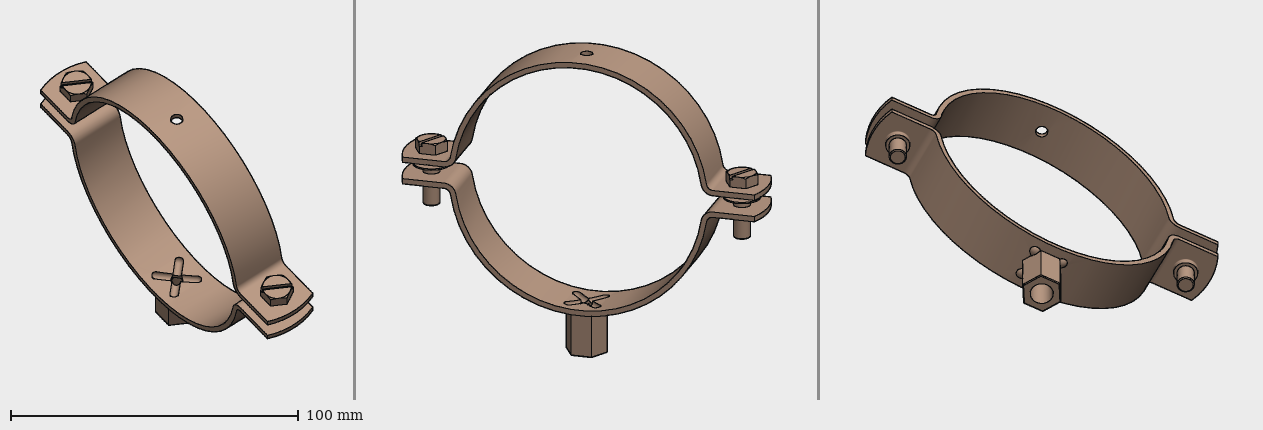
import cadquery as cq
import math

strip_width = 20.0
strip_thickness = 2.0
pipe_radius = 45.0
band_radius = pipe_radius + strip_thickness
overall_length = 131.72
overall_height = 110.59
ear_gap = 6.0
ear_inner_z = ear_gap / 2
ear_outer_z = ear_inner_z + strip_thickness
ear_tip_radius = 26.0
bend_inner_radius = 2.4
bend_outer_radius = bend_inner_radius + strip_thickness
centre_hole_diameter = 4.2

screw_offset = 56.35
screw_positions = (-screw_offset, screw_offset)
screw_diameter = 6.0
screw_length = 20.0
screw_end_chamfer = 0.4
head_flats = 10.0
head_height = 4.0
head_bevel_angle = math.radians(30)
driver_slot_width = 1.4
driver_slot_depth = 1.3
driver_slot_angle = 60.0
collar_diameter = 8.4
collar_height = 2.0
collar_root_fillet = 0.3
disc_diameter = 13.0
disc_thickness = 0.5

nut_flats = 13.0
nut_bottom_z = band_radius - overall_height
nut_bore_diameter = 8.0
nut_end_chamfer = 0.35
cross_length = 17.4
groove_radius = 1.5
ridge_radius = 2.3
ridge_axis_drop = 0.4
cross_angles = (45, 135)
groove_axis_z = -pipe_radius
ridge_axis_z = -pipe_radius - ridge_axis_drop

hex_corner_ratio = 1 / math.cos(math.pi / 6)


def cylinder(diameter, bottom_z, top_z, x=0.0):
    """Upright cylinder between two heights."""
    plane = cq.Workplane("XY", origin=(x, 0, bottom_z))
    return plane.circle(diameter / 2).extrude(top_z - bottom_z)


def hexagon(flats, bottom_z, top_z, x=0.0):
    """Upright hexagonal prism with corners on the X axis."""
    plane = cq.Workplane("XY", origin=(x, 0, bottom_z))
    return plane.polygon(6, flats * hex_corner_ratio).extrude(top_z - bottom_z)


def band_profile():
    """Half ring blending through a bend into a flat ear at each end, in the XZ plane."""
    bend_z = ear_outer_z + bend_inner_radius
    bend_x = math.sqrt((band_radius + bend_inner_radius) ** 2 - bend_z ** 2)
    ring_end_angle = math.atan2(bend_z, bend_x)
    bend_mid_angle = (ring_end_angle - math.pi / 2) / 2
    tip_x = overall_length / 2

    def ring_end(side, radius):
        return (side * radius * math.cos(ring_end_angle), radius * math.sin(ring_end_angle))

    def bend_middle(side, radius):
        x = bend_x - radius * math.cos(bend_mid_angle)
        z = bend_z + radius * math.sin(bend_mid_angle)
        return (side * x, z)

    return (
        cq.Workplane("XZ")
        .moveTo(-tip_x, ear_inner_z)
        .lineTo(-bend_x, ear_inner_z)
        .threePointArc(bend_middle(-1, bend_outer_radius), ring_end(-1, pipe_radius))
        .threePointArc((0, pipe_radius), ring_end(1, pipe_radius))
        .threePointArc(bend_middle(1, bend_outer_radius), (bend_x, ear_inner_z))
        .lineTo(tip_x, ear_inner_z)
        .lineTo(tip_x, ear_outer_z)
        .lineTo(bend_x, ear_outer_z)
        .threePointArc(bend_middle(1, bend_inner_radius), ring_end(1, band_radius))
        .threePointArc((0, band_radius), ring_end(-1, band_radius))
        .threePointArc(bend_middle(-1, bend_inner_radius), (-bend_x, ear_outer_z))
        .lineTo(-tip_x, ear_outer_z)
        .close()
    )


def ear_outline():
    """Plan prism of the strip, with bowed ear tips, that trims the band."""
    tip_x = overall_length / 2
    half_width = strip_width / 2
    corner_x = tip_x - ear_tip_radius + math.sqrt(ear_tip_radius ** 2 - half_width ** 2)
    return (
        cq.Workplane("XY")
        .moveTo(-corner_x, -half_width)
        .lineTo(corner_x, -half_width)
        .threePointArc((tip_x, 0), (corner_x, half_width))
        .lineTo(-corner_x, half_width)
        .threePointArc((-tip_x, 0), (-corner_x, -half_width))
        .close()
        .extrude(band_radius)
    )


def make_half_band():
    """Upper half band with its centre hole and screw holes."""
    band = band_profile().extrude(strip_width / 2, both=True).intersect(ear_outline())
    band = band.cut(cylinder(centre_hole_diameter, 0, band_radius))
    for x in screw_positions:
        band = band.cut(cylinder(screw_diameter, 0, ear_outer_z, x))
    return band


def round_bar(radius, axis_z, angle):
    """Level round bar with ball ends, centred on the pipe's lowest line or just below it."""
    centre_distance = cross_length / 2 - groove_radius
    tip_distance = centre_distance + radius
    arc_offset = radius * math.sqrt(0.5)
    arc_distance = centre_distance + arc_offset
    half_section = (
        cq.Workplane("XY")
        .moveTo(-tip_distance, 0)
        .threePointArc((-arc_distance, arc_offset), (-centre_distance, radius))
        .lineTo(centre_distance, radius)
        .threePointArc((arc_distance, arc_offset), (tip_distance, 0))
        .close()
    )
    bar = half_section.revolve(360, (0, 0, 0), (1, 0, 0))
    return bar.rotate((0, 0, 0), (0, 0, 1), angle).translate((0, 0, axis_z))


def cross_ridge():
    """Solid cross standing out from the pipe surface."""
    bars = [round_bar(ridge_radius, ridge_axis_z, angle) for angle in cross_angles]
    ridge = bars[0].union(bars[1])
    pipe = cq.Workplane("XZ").circle(pipe_radius).extrude(strip_width, both=True)
    return ridge.cut(pipe)


def cross_groove():
    """Round-bottomed cross groove, open towards the pipe."""
    groove = cq.Workplane("XY")
    for angle in cross_angles:
        opening = cq.Workplane("XY", origin=(0, 0, groove_axis_z))
        opening = opening.slot2D(cross_length, 2 * groove_radius, angle).extrude(ridge_radius)
        groove = groove.add(round_bar(groove_radius, groove_axis_z, angle)).add(opening)
    return groove.combine()


def make_collar(x):
    """Threaded collar drawn down from the ear, with a filleted root."""
    root_radius = collar_diameter / 2 + collar_root_fillet
    arc_inset = collar_root_fillet * (1 - math.sqrt(0.5))
    return (
        cq.Workplane("XZ")
        .moveTo(screw_diameter / 2, -collar_height)
        .lineTo(collar_diameter / 2, -collar_height)
        .lineTo(collar_diameter / 2, -collar_root_fillet)
        .threePointArc((collar_diameter / 2 + arc_inset, -arc_inset), (root_radius, 0))
        .lineTo(screw_diameter / 2, 0)
        .close()
        .revolve(360, (0, 0, 0), (0, 1, 0))
        .translate((x, 0, -ear_outer_z))
    )


def make_lower_band():
    """Mirrored half band with threaded collars under the ears and the pressed cross."""
    band = make_half_band().mirror("XY")
    for x in screw_positions:
        band = band.union(make_collar(x))
    hole = cylinder(centre_hole_diameter, ridge_axis_z - ridge_radius, 0)
    return band.union(cross_ridge()).cut(cross_groove()).cut(hole)


def make_screw(x):
    """Slotted hexagon head screw standing on the upper ear."""
    head_top = ear_outer_z + head_height
    shank_end = ear_outer_z - screw_length
    corner_radius = head_flats * hex_corner_ratio / 2
    bevel_run = corner_radius - head_flats / 2
    bevel_height = bevel_run * math.tan(head_bevel_angle)
    turned = cylinder(2 * corner_radius, ear_outer_z, head_top, x)
    turned = turned.faces(">Z").chamfer(bevel_height, bevel_run)
    head = hexagon(head_flats, ear_outer_z, head_top, x).intersect(turned)
    slot = (
        cq.Workplane("XY", origin=(x, 0, head_top - driver_slot_depth))
        .transformed(rotate=(0, 0, driver_slot_angle))
        .rect(2 * head_flats, driver_slot_width)
        .extrude(driver_slot_depth)
    )
    shank = cylinder(screw_diameter, shank_end, ear_outer_z, x).faces("<Z").chamfer(screw_end_chamfer)
    return head.cut(slot).union(shank)


def make_disc(x):
    """Thin retaining disc around the screw, midway between the ears."""
    disc = cylinder(disc_diameter, -disc_thickness / 2, disc_thickness / 2, x)
    return disc.cut(cylinder(screw_diameter, -disc_thickness / 2, disc_thickness / 2, x))


def make_nut():
    """Long hexagonal nut touching the band, recessed around the cross ridge."""
    nut = hexagon(nut_flats, nut_bottom_z, -band_radius).faces("<Z").chamfer(nut_end_chamfer)
    nut = nut.cut(cylinder(nut_bore_diameter, nut_bottom_z, -band_radius))
    return nut.cut(cross_ridge())


upper_band = make_half_band()
lower_band = make_lower_band()
nut = make_nut()
screws = [make_screw(x) for x in screw_positions]
discs = [make_disc(x) for x in screw_positions]

result = cq.Compound.makeCompound([
    upper_band.val(),
    lower_band.val(),
    nut.val(),
    *[screw.val() for screw in screws],
    *[disc.val() for disc in discs],
])